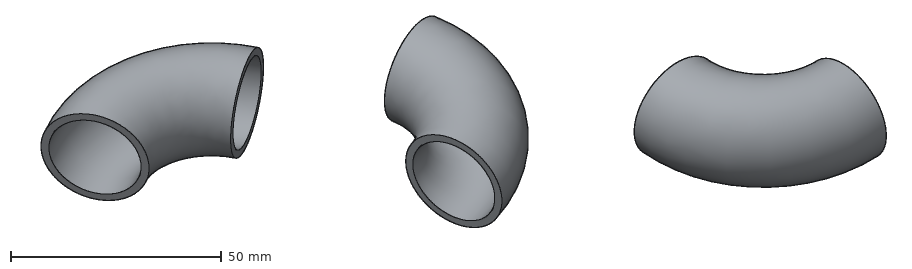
import cadquery as cq

overall_reach = 42.45
outer_diameter = 26.9
wall_thickness = 2.0
bend_angle = 90.0

outer_radius = outer_diameter / 2
inner_radius = outer_radius - wall_thickness
bend_radius = overall_reach - outer_radius


def pipe_elbow():
    """Sweep the pipe ring around a vertical bend axis at the origin.

    One open end faces -Y, the other faces +X.
    """
    ring = (
        cq.Workplane("XZ")
        .center(-bend_radius, 0)
        .circle(outer_radius)
        .circle(inner_radius)
    )
    axis_start = (bend_radius, 0)
    axis_end = (bend_radius, -1)
    return ring.revolve(bend_angle, axis_start, axis_end)


result = pipe_elbow()